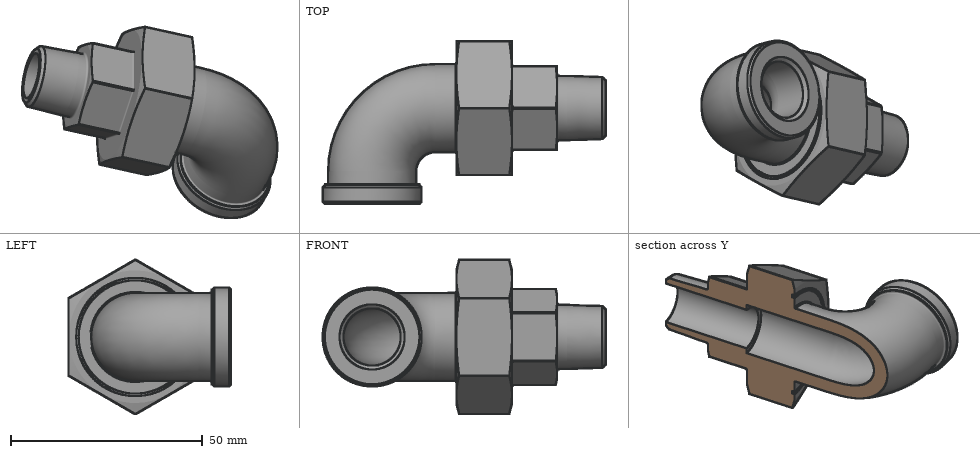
import cadquery as cq
import math


tube_bend_radius = 16.5
tube_radius = 11.55
bore_radius = 7.5
bore_bend_radius = 14.65
weld_fillet = 0.2

inlet_y = -25.0
collar_radius = 12.95
collar_length = 5.2
collar_chamfer = 0.6
collar_lip = 0.3
mouth_radius = 8.5
mouth_depth = 1.0

nut_start = 22.0
nut_end = 36.55
nut_flats = 35.0
nut_across_corners = 40.3
nut_corner_radius = nut_across_corners / 2
nut_face_radius = 17.3
nut_chamfer = 0.75
nut_recess_radius = 15.5
nut_recess_depth = 0.75
seat_radius = 14.8

hex_end = 48.3
hex_flats = 22.0
hex_corner_radius = 12.6
hex_face_radius = 10.9
hex_chamfer = 0.4
hex_fillet = 0.4
tail_radius = 8.4
taper_start = 51.0
tail_end = 61.05
tail_end_radius = 8.15
tail_chamfer = 0.95
root_fillet = 0.5
tail_bore_radius = 6.0


def cylinder_x(start, end, radius):
    return cq.Workplane("YZ", origin=(start, 0, 0)).circle(radius).extrude(end - start)


def revolve_x(profile):
    """Turn a closed (x, radius) profile about the X axis."""
    return cq.Workplane("XY").polyline(profile).close().revolve(360, (0, 0, 0), (1, 0, 0))


def hexagon_x(start, end, flats, corner_radius, face_radius, chamfer):
    """Hexagonal prism with corners up and down, turned at its corners and both ends."""
    corner_span = flats / math.cos(math.pi / 6)
    prism = (
        cq.Workplane("YZ", origin=(start, 0, 0))
        .transformed(rotate=(0, 0, 90))
        .polygon(6, corner_span)
        .extrude(end - start)
    )
    turned = revolve_x([
        (start, 0),
        (start, face_radius),
        (start + chamfer, corner_radius),
        (end - chamfer, corner_radius),
        (end, face_radius),
        (end, 0),
    ])
    return prism.intersect(turned)


def elbow_sweep(radius, bend_radius, run_end):
    """Round bar that follows the inlet, the quarter bend and the run up to run_end."""
    bend_middle = bend_radius * (1 - math.cos(math.pi / 4))
    path = (
        cq.Workplane("XY")
        .moveTo(0, inlet_y)
        .lineTo(0, -bend_radius)
        .threePointArc((bend_middle, -bend_middle), (bend_radius, 0))
        .lineTo(run_end, 0)
    )
    return cq.Workplane("XZ", origin=(0, inlet_y, 0)).circle(radius).sweep(path)


def inlet_collar():
    """Chamfered collar with a short lip behind it and a fillet down to the tube."""
    front = inlet_y
    back = inlet_y + collar_length
    edge_radius = collar_radius - collar_chamfer
    shoulder = back - collar_lip
    return (
        cq.Workplane("XY")
        .moveTo(0, front)
        .lineTo(edge_radius, front)
        .lineTo(collar_radius, front + collar_chamfer)
        .lineTo(collar_radius, shoulder - collar_chamfer)
        .lineTo(edge_radius, shoulder)
        .lineTo(edge_radius, back)
        .lineTo(tube_radius + weld_fillet, back)
        .radiusArc((tube_radius, back + weld_fillet), weld_fillet)
        .lineTo(0, back + weld_fillet)
        .close()
        .revolve(360, (0, 0, 0), (0, 1, 0))
    )


def seat_fillet():
    """Fillet between the tube and the seat face inside the nut."""
    return (
        cq.Workplane("XY")
        .moveTo(nut_start, 0)
        .lineTo(nut_start, tube_radius + weld_fillet)
        .radiusArc((nut_start - weld_fillet, tube_radius), weld_fillet)
        .lineTo(nut_start - weld_fillet, 0)
        .close()
        .revolve(360, (0, 0, 0), (1, 0, 0))
    )


def inlet_mouth():
    """Countersink that leads into the inlet bore."""
    return (
        cq.Workplane("XY")
        .polyline([
            (0, inlet_y),
            (mouth_radius, inlet_y),
            (bore_radius, inlet_y + mouth_depth),
            (0, inlet_y + mouth_depth),
        ])
        .close()
        .revolve(360, (0, 0, 0), (0, 1, 0))
    )


def union_nut():
    """Nut with a ring-shaped gap around the elbow's seat."""
    nut = hexagon_x(nut_start, nut_end, nut_flats, nut_corner_radius, nut_face_radius, nut_chamfer)
    gap_end = nut_start + nut_recess_depth
    gap = cylinder_x(nut_start, gap_end, nut_recess_radius).cut(
        cylinder_x(nut_start, gap_end, seat_radius)
    )
    return nut.cut(gap)


def nut_and_hexagon():
    """Nut joined to the tail hexagon, with a small fillet around the hexagon's foot."""
    hidden_start = nut_end - hex_chamfer
    hexagon = hexagon_x(hidden_start, hex_end, hex_flats, hex_corner_radius, hex_face_radius, hex_chamfer)
    foot = cq.selectors.BoxSelector(
        (nut_end - hex_fillet, -hex_corner_radius, -hex_corner_radius),
        (nut_end + hex_fillet, hex_corner_radius, hex_corner_radius),
        boundingbox=True,
    )
    return union_nut().union(hexagon).edges(foot).fillet(hex_fillet)


def male_end():
    """Tapered male end with a fillet at its root and a chamfer at its tip."""
    return (
        cq.Workplane("XY")
        .moveTo(hex_end, 0)
        .lineTo(hex_end, tail_radius + root_fillet)
        .radiusArc((hex_end + root_fillet, tail_radius), -root_fillet)
        .lineTo(taper_start, tail_radius)
        .lineTo(tail_end - tail_chamfer, tail_end_radius)
        .lineTo(tail_end, tail_end_radius - tail_chamfer)
        .lineTo(tail_end, 0)
        .close()
        .revolve(360, (0, 0, 0), (1, 0, 0))
    )


outside = (
    elbow_sweep(tube_radius, tube_bend_radius, nut_end)
    .union(inlet_collar())
    .union(seat_fillet())
    .union(nut_and_hexagon())
    .union(male_end())
)
result = (
    outside
    .cut(elbow_sweep(bore_radius, bore_bend_radius, nut_end))
    .cut(inlet_mouth())
    .cut(cylinder_x(nut_end, tail_end, tail_bore_radius))
)